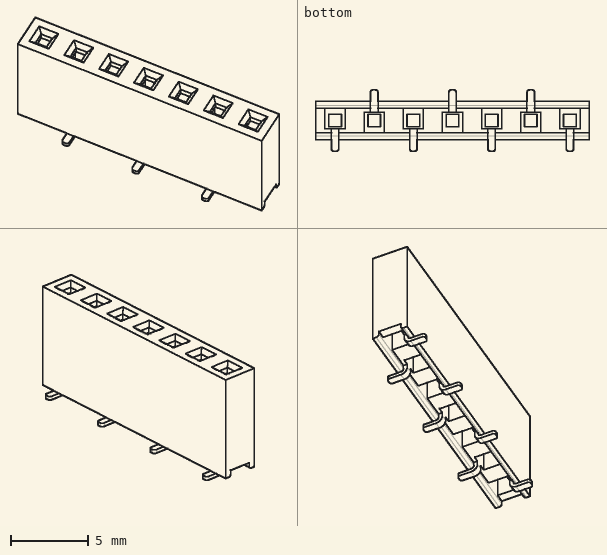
import cadquery as cq

contact_count = 7
body_length = 17.78
pitch = body_length / contact_count
body_width = 2.5
overall_height = 7.5
body_bottom = 0.3

channel_width = 1.6
channel_top = 0.75
rib_corner_radius = 0.2

socket_size = 0.8
mouth_size = 1.4
mouth_depth = (mouth_size - socket_size) / 2

cavity_length = 1.32
cavity_top = 6.81

lead_span = 4.0
lead_width = 0.5
lead_thickness = 0.27
lead_inner_radius = rib_corner_radius
lead_outer_radius = lead_inner_radius + lead_thickness
tip_radius = 0.18

contact_positions = [(i - (contact_count - 1) / 2) * pitch for i in range(contact_count)]


def make_body():
    """Block with a lengthwise channel whose lower edges are rounded."""
    block = (
        cq.Workplane("XY")
        .workplane(offset=body_bottom)
        .rect(body_length, body_width)
        .extrude(overall_height - body_bottom)
    )
    half_channel = channel_width / 2
    half_opening = half_channel + rib_corner_radius
    round_top = body_bottom + rib_corner_radius
    channel = (
        cq.Workplane("YZ")
        .moveTo(-half_opening, body_bottom)
        .radiusArc((-half_channel, round_top), -rib_corner_radius)
        .lineTo(-half_channel, channel_top)
        .lineTo(half_channel, channel_top)
        .lineTo(half_channel, round_top)
        .radiusArc((half_opening, body_bottom), -rib_corner_radius)
        .close()
        .extrude(body_length / 2, both=True)
    )
    return block.cut(channel)


def make_socket(x):
    """Through hole with a pyramid-shaped lead-in at the top."""
    hole = (
        cq.Workplane("XY")
        .center(x, 0)
        .rect(socket_size, socket_size)
        .extrude(overall_height)
    )
    mouth = (
        cq.Workplane("XY", origin=(x, 0, overall_height - mouth_depth))
        .rect(socket_size, socket_size)
        .workplane(offset=mouth_depth)
        .rect(mouth_size, mouth_size)
        .loft(ruled=True)
    )
    return hole.union(mouth)


def make_cavity(x, side):
    """Hidden cavity open to the channel; the contact blade fills its end on the lead side."""
    far_wall = -side * channel_width / 2
    blade_face = side * (channel_width / 2 - lead_thickness)
    return (
        cq.Workplane("XY", origin=(x, (far_wall + blade_face) / 2, channel_top))
        .rect(cavity_length, abs(blade_face - far_wall))
        .extrude(cavity_top - channel_top)
    )


def make_lead(x, side):
    """L-shaped lead inside the channel, its foot pointing to +Y (side = 1) or -Y (side = -1)."""
    outer_face = channel_width / 2
    inner_face = outer_face - lead_thickness
    tip = lead_span / 2
    bend_y = outer_face + lead_inner_radius
    lead = (
        cq.Workplane("YZ")
        .moveTo(inner_face, channel_top)
        .lineTo(inner_face, lead_outer_radius)
        .radiusArc((bend_y, 0), -lead_outer_radius)
        .lineTo(tip, 0)
        .lineTo(tip, lead_thickness)
        .lineTo(bend_y, lead_thickness)
        .radiusArc((outer_face, lead_outer_radius), lead_inner_radius)
        .lineTo(outer_face, channel_top)
        .close()
        .extrude(lead_width / 2, both=True)
        .faces(">Y")
        .edges("|Z")
        .fillet(tip_radius)
    )
    if side < 0:
        lead = lead.rotate((0, 0, 0), (0, 0, 1), 180)
    return lead.translate((x, 0, 0))


result = make_body()
for index, x in enumerate(contact_positions):
    side = 1 if index % 2 == 0 else -1
    result = result.cut(make_socket(x))
    result = result.cut(make_cavity(x, side))
    result = result.union(make_lead(x, side))